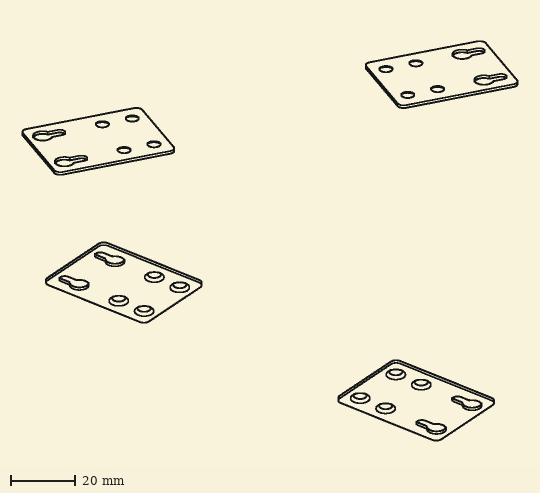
import cadquery as cq

plate_width = 30.0
plate_length = 40.0
plate_thickness = 1.0
corner_radius = 2.0

plate_gap = 75.0
plate_offset = (plate_gap + plate_length) / 2

column_spacing = 18.0
column_positions = (-column_spacing / 2, column_spacing / 2)

hole_top_diameter = 4.0
hole_bottom_diameter = 6.0
hole_edge_distance = 5.0
hole_pitch = 10.0

keyhole_entry_diameter = 6.0
keyhole_slot_width = 3.5
keyhole_length = 10.5
keyhole_slot_travel = keyhole_length - keyhole_entry_diameter / 2 - keyhole_slot_width / 2
keyhole_edge_clearance = 2.0
rear_entry_edge_distance = keyhole_edge_clearance + keyhole_length - keyhole_entry_diameter / 2
front_entry_edge_distance = keyhole_edge_clearance + keyhole_entry_diameter / 2


def make_blank(center_y):
    """Flat plate with rounded corners, resting on Z = 0."""
    return (
        cq.Workplane("XY")
        .center(0, center_y)
        .rect(plate_width, plate_length)
        .extrude(plate_thickness)
        .edges("|Z")
        .fillet(corner_radius)
    )


def make_countersunk_holes(inner_edge_y, outward):
    """Cutters for the countersunk holes, stepping outward from the inner edge."""
    first_row = inner_edge_y + outward * hole_edge_distance
    second_row = first_row + outward * hole_pitch
    centers = [(x, y) for x in column_positions for y in (first_row, second_row)]
    cone = cq.Solid.makeCone(hole_bottom_diameter / 2, hole_top_diameter / 2, plate_thickness)
    return cq.Workplane("XY").pushPoints(centers).eachpoint(cone)


def make_keyhole(x, entry_y):
    """Cutter for one keyhole: round entry joined to a round-ended slot."""
    entry = (
        cq.Workplane("XY")
        .center(x, entry_y)
        .circle(keyhole_entry_diameter / 2)
        .extrude(plate_thickness)
    )
    slot = (
        cq.Workplane("XY")
        .center(x, entry_y + keyhole_slot_travel / 2)
        .slot2D(keyhole_slot_travel + keyhole_slot_width, keyhole_slot_width, 90)
        .extrude(plate_thickness)
    )
    return entry.union(slot)


def make_plate(outward, entry_edge_distance):
    """One mounting plate; outward is +1 for the rear plate and -1 for the front one."""
    center_y = outward * plate_offset
    inner_edge_y = center_y - outward * plate_length / 2
    outer_edge_y = center_y + outward * plate_length / 2
    entry_y = outer_edge_y - outward * entry_edge_distance

    plate = make_blank(center_y).cut(make_countersunk_holes(inner_edge_y, outward))
    for x in column_positions:
        plate = plate.cut(make_keyhole(x, entry_y))
    return plate


rear_plate = make_plate(1, rear_entry_edge_distance)
front_plate = make_plate(-1, front_entry_edge_distance)

result = cq.Compound.makeCompound([*rear_plate.solids().vals(), *front_plate.solids().vals()])